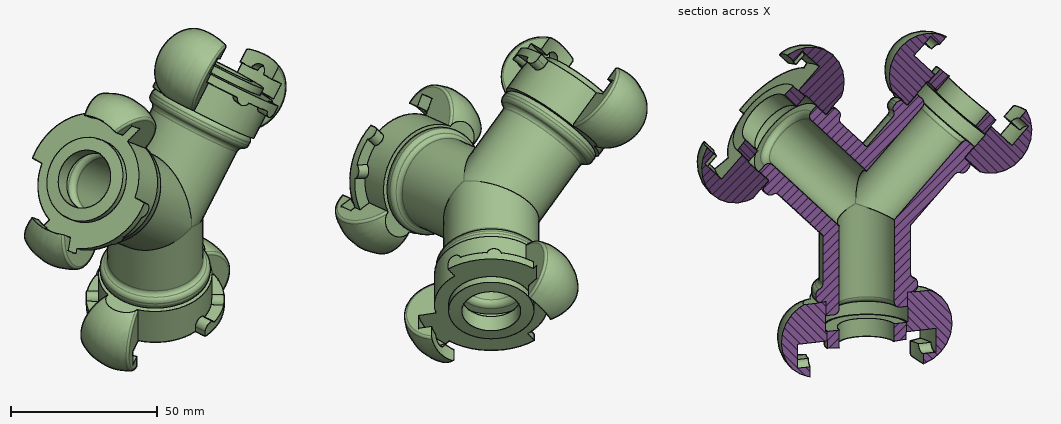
import cadquery as cq
import math

PIPE_DIA = 32.5
BORE_DIA = 20.0
BOTTOM_LEG = 30.5
UPPER_LEG = 36.1
BRANCH_ANGLE = 45.0

BEAD_DIA = 37.5
BEAD_END_DIA = 34.5
BEAD_ROUND = 2.0
BEAD_LAND = 1.1

SPIGOT_DIA = 30.0
SPIGOT_LENGTH = 5.0
MOUTH_DIA = 24.3

BODY_DIA = 38.6
BODY_LENGTH = 14.0
FLANGE_DIA = 47.0
FLANGE_THICKNESS = 3.0
BUMP_RADIUS = 2.5
BUMP_DEPTH = 2.2
BUMP_ANGLES = (0.0, 35.0)
BOTTOM_TWIST = 2.5

CLAW_HALF_ANGLE = 20.0
CLAW_REACH = 31.5
CLAW_ROUND = 13.7
CLAW_DEPTH = 1.3
CROWN_RADIUS = 19.5
CLAW_EDGE_FILLET = 1.0
SLOT_RADIUS = 25.4
LIP_RADIUS = 20.8
SLOT_HEIGHT = 5.8
NOTCH_RADIUS = 2.7

SEAL_DIA = 29.0
SEAL_HOLE_DIA = 20.0
SEAL_PROJECTION = 2.9
SEAL_SEAT_DEPTH = 3.5
SEAL_RIM_DROP = 0.3

BODY_RADIUS = BODY_DIA / 2
FLANGE_RADIUS = FLANGE_DIA / 2
ROOT_OVERLAP = 1.2
FLANGE_ROOT = BODY_RADIUS - ROOT_OVERLAP
FAR = 2 * CLAW_REACH


def leg_outer(length):
    """One leg along +Z with its bead and spigot, without the bore."""
    pipe_r = PIPE_DIA / 2
    bead_r = BEAD_DIA / 2
    spigot_r = SPIGOT_DIA / 2
    end_r = BEAD_END_DIA / 2
    r = BEAD_ROUND

    sweep = math.acos(1 - (bead_r - pipe_r) / (2 * r))
    arc_height = r * math.sin(sweep)
    mid_rise = r * (1 - math.cos(sweep / 2))
    mid_run = r * math.sin(sweep / 2)

    end_drop = bead_r - end_r
    end_height = math.sqrt(r ** 2 - (r - end_drop) ** 2)
    end_sweep = math.asin(end_height / r)
    land_top = length - end_height
    land_bottom = land_top - BEAD_LAND
    bead_start = land_bottom - 2 * arc_height

    profile = (
        cq.Workplane("XZ").lineTo(pipe_r, 0).lineTo(pipe_r, bead_start)
        .threePointArc((pipe_r + mid_rise, bead_start + mid_run),
                       ((pipe_r + bead_r) / 2, bead_start + arc_height))
        .threePointArc((bead_r - mid_rise, land_bottom - mid_run), (bead_r, land_bottom))
        .lineTo(bead_r, land_top)
        .threePointArc((bead_r - r * (1 - math.cos(end_sweep / 2)),
                        land_top + r * math.sin(end_sweep / 2)),
                       (end_r, length))
        .lineTo(spigot_r, length).lineTo(spigot_r, length + SPIGOT_LENGTH)
        .lineTo(0, length + SPIGOT_LENGTH).close()
    )
    return profile.revolve(360, (0, 0, 0), (0, 1, 0))


def leg_bore(length):
    """The bore of one leg along +Z, with its rounded mouth."""
    bore_r = BORE_DIA / 2
    mouth_r = MOUTH_DIA / 2
    r = mouth_r - bore_r
    end = length + SPIGOT_LENGTH
    offset = r * (1 - math.sqrt(0.5))
    profile = (
        cq.Workplane("XZ").lineTo(bore_r, 0).lineTo(bore_r, end - r)
        .threePointArc((bore_r + offset, end - offset), (mouth_r, end))
        .lineTo(0, end).close()
    )
    return profile.revolve(360, (0, 0, 0), (0, 1, 0))


def on_leg(shape, tilt):
    """Turn a shape built along +Z onto the leg with this tilt about X."""
    return shape.rotate((0, 0, 0), (1, 0, 0), tilt)


def claw():
    """One claw on the +Y side, a 40 degree sector with a crowned back."""
    centre_y = CLAW_REACH - CLAW_ROUND
    centre_z = BODY_LENGTH - CLAW_DEPTH
    tan_half = math.tan(math.radians(CLAW_HALF_ANGLE))

    half_width = CLAW_REACH * tan_half
    crown_drop = CROWN_RADIUS - math.sqrt(CROWN_RADIUS ** 2 - half_width ** 2)
    edge_radius = CLAW_ROUND - crown_drop
    barrel = (
        cq.Workplane("XY", origin=(0, centre_y, centre_z))
        .moveTo(-half_width, 0).lineTo(-half_width, -edge_radius)
        .threePointArc((0, -CLAW_ROUND), (half_width, -edge_radius))
        .lineTo(half_width, 0).close()
        .revolve(360, (0, 0, 0), (1, 0, 0))
    )
    sector = (
        cq.Workplane("XY")
        .polyline([(0, 0), (FAR * tan_half, FAR), (-FAR * tan_half, FAR)]).close()
        .extrude(FAR, both=True)
    )
    core = cq.Workplane("XY").circle(FLANGE_ROOT).extrude(FAR, both=True)
    blank = barrel.intersect(sector).cut(core)
    return blank.faces("%REVOLUTION").edges(">X or <X").fillet(CLAW_EDGE_FILLET)


def claw_clearance():
    """Everything removed in front of the mating face: slot, mouth and lip notches."""
    lip = BODY_LENGTH + SLOT_HEIGHT
    slot = cq.Workplane("XY", origin=(0, 0, BODY_LENGTH)).circle(SLOT_RADIUS).extrude(SLOT_HEIGHT)
    mouth = cq.Workplane("XY", origin=(0, 0, BODY_LENGTH)).circle(LIP_RADIUS).extrude(FAR)
    notch = cq.Workplane("XZ", origin=(0, 0, lip)).circle(NOTCH_RADIUS).extrude(FAR, both=True)
    notch = notch.intersect(cq.Workplane("XY").circle(SLOT_RADIUS).extrude(FAR))
    return slot.union(mouth).union(notch)


def flange():
    """Half of the flange: runs clockwise from +X to the claw on -Y, with two bumps."""
    back = BODY_LENGTH - FLANGE_THICKNESS
    bump_axis = BODY_LENGTH - BUMP_DEPTH
    quarter = (
        cq.Workplane("XZ").moveTo(FLANGE_ROOT, back).lineTo(FLANGE_RADIUS, back)
        .lineTo(FLANGE_RADIUS, BODY_LENGTH).lineTo(FLANGE_ROOT, BODY_LENGTH).close()
        .revolve(90, (0, 0, 0), (0, -1, 0))
    )
    bump = (
        cq.Workplane("YZ", origin=(FLANGE_ROOT, 0, 0)).moveTo(-BUMP_RADIUS, BODY_LENGTH)
        .lineTo(-BUMP_RADIUS, bump_axis)
        .threePointArc((0, bump_axis - BUMP_RADIUS), (BUMP_RADIUS, bump_axis))
        .lineTo(BUMP_RADIUS, BODY_LENGTH).close().extrude(FLANGE_RADIUS)
    )
    bump = bump.intersect(cq.Workplane("XY").circle(FLANGE_RADIUS).extrude(BODY_LENGTH))
    for angle in BUMP_ANGLES:
        quarter = quarter.union(bump.rotate((0, 0, 0), (0, 0, 1), -angle))
    return quarter


def make_coupling():
    """Coupling body with two claws, two flange halves, the seal seat and the spigot chamber."""
    body = cq.Workplane("XY").circle(BODY_RADIUS).extrude(BODY_LENGTH)
    behind_joint = cq.Workplane("XY").circle(FAR).extrude(-FAR)
    for turn in (0, 180):
        side = claw().cut(behind_joint).union(flange())
        body = body.union(side.rotate((0, 0, 0), (0, 0, 1), turn))
    body = body.cut(claw_clearance())
    seat_bottom = BODY_LENGTH - SEAL_SEAT_DEPTH
    chamber = cq.Workplane("XY").circle(SPIGOT_DIA / 2).extrude(seat_bottom)
    seat = cq.Workplane("XY").circle(SEAL_DIA / 2).extrude(BODY_LENGTH)
    return body.cut(chamber).cut(seat)


def make_seal():
    """Seal ring, its free face slightly conical and highest at the hole."""
    hole_r = SEAL_HOLE_DIA / 2
    rim_r = SEAL_DIA / 2
    bottom = BODY_LENGTH - SEAL_SEAT_DEPTH
    crest = BODY_LENGTH + SEAL_PROJECTION
    profile = (
        cq.Workplane("XZ").moveTo(hole_r, bottom).lineTo(rim_r, bottom)
        .lineTo(rim_r, crest - SEAL_RIM_DROP).lineTo(hole_r, crest).close()
    )
    return profile.revolve(360, (0, 0, 0), (0, 1, 0))


LEGS = (
    (UPPER_LEG, BRANCH_ANGLE, 0.0),
    (UPPER_LEG, -BRANCH_ANGLE, 0.0),
    (BOTTOM_LEG, 180.0, -BOTTOM_TWIST),
)


def make_pipe():
    """The three legs joined, then bored from each end to the origin."""
    pipe = cq.Workplane("XY")
    for length, tilt, _ in LEGS:
        pipe = pipe.union(on_leg(leg_outer(length), tilt))
    for length, tilt, _ in LEGS:
        pipe = pipe.cut(on_leg(leg_bore(length), tilt))
    return pipe


pipe = make_pipe()
couplings = []
seals = []
for length, tilt, twist in LEGS:
    coupling = make_coupling().rotate((0, 0, 0), (0, 0, 1), twist).translate((0, 0, length))
    couplings.append(on_leg(coupling, tilt).val())
    seals.append(on_leg(make_seal().translate((0, 0, length)), tilt).val())

result = cq.Compound.makeCompound([pipe.val(), *couplings, *seals])